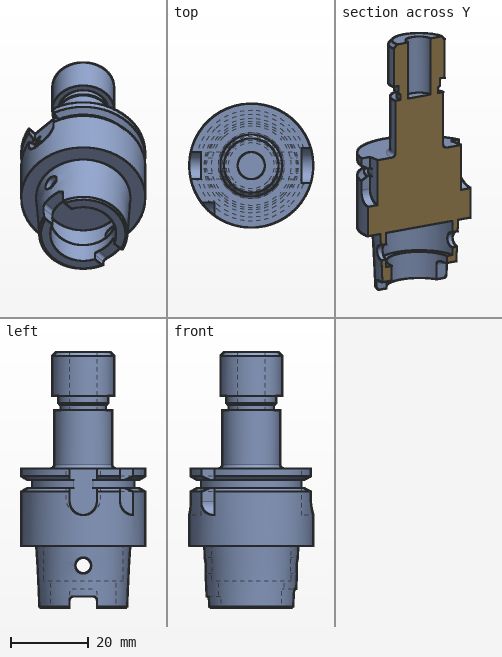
import cadquery as cq
import math


head_top_z = 50.0
shank_length = 16.0

shank_gauge_radius = 12.0035
shank_gauge_depth = 3.2
taper_ratio = 0.1
shank_end_chamfer = 0.5
shank_top_radius = shank_gauge_radius + shank_gauge_depth * taper_ratio / 2
shank_bottom_radius = shank_top_radius - shank_length * taper_ratio / 2

flange_radius = 16.0
flange_height = 20.0
groove_radius = 13.25
groove_centre_z = 16.0
groove_floor_width = 2.0
groove_mouth_width = 4.0
lip_angle = 30.0
lip_height = (groove_mouth_width - groove_floor_width) / 2
lip_inner_radius = flange_radius - lip_height / math.tan(math.radians(lip_angle))

stem_radius = 7.5
stem_top_z = 35.0
stem_fillet = 1.0
neck_radius = 5.9
neck_top_z = 36.3
collar_radius = 6.5
collar_edge_z = neck_top_z + collar_radius - neck_radius
nut_radius = 8.0
nut_bottom_z = 38.7
nut_chamfer = 1.0

tool_bore_radius = 3.5
tool_bore_depth = head_top_z - stem_top_z
shank_mouth_radius = 8.5
shank_cavity_radius = 10.25
shank_cavity_depth = 9.0
cross_hole_radius = 2.0
cross_hole_z = -5.0

keyway_bottom_z = 8.0
keyway_floor_x = 13.0
narrow_keyway_width = 7.0
wide_keyway_width = 9.0
corner_notch_x = -9.5
corner_notch_y = -9.5

drive_slot_width = 7.0
drive_slot_corner = 1.0
shallow_slot_depth = 3.0
deep_slot_depth = 5.0


def make_body():
    """Turned outline of the whole holder, revolved about Z."""
    floor_low = groove_centre_z - groove_floor_width / 2
    floor_high = groove_centre_z + groove_floor_width / 2
    mouth_low = groove_centre_z - groove_mouth_width / 2
    mouth_high = groove_centre_z + groove_mouth_width / 2
    fillet_mid = stem_fillet * (1 - math.sqrt(0.5))
    chamfer_top_radius = shank_bottom_radius + shank_end_chamfer * taper_ratio / 2
    return (
        cq.Workplane("XZ")
        .moveTo(0, -shank_length)
        .lineTo(shank_bottom_radius - shank_end_chamfer, -shank_length)
        .lineTo(chamfer_top_radius, shank_end_chamfer - shank_length)
        .lineTo(shank_top_radius, 0)
        .lineTo(flange_radius, 0)
        .lineTo(flange_radius, mouth_low)
        .lineTo(lip_inner_radius, floor_low)
        .lineTo(groove_radius, floor_low)
        .lineTo(groove_radius, floor_high)
        .lineTo(lip_inner_radius, floor_high)
        .lineTo(flange_radius, mouth_high)
        .lineTo(flange_radius, flange_height)
        .lineTo(stem_radius + stem_fillet, flange_height)
        .threePointArc(
            (stem_radius + fillet_mid, flange_height + fillet_mid),
            (stem_radius, flange_height + stem_fillet),
        )
        .lineTo(stem_radius, stem_top_z)
        .lineTo(neck_radius, stem_top_z)
        .lineTo(neck_radius, neck_top_z)
        .lineTo(collar_radius, collar_edge_z)
        .lineTo(collar_radius, nut_bottom_z)
        .lineTo(nut_radius, nut_bottom_z)
        .lineTo(nut_radius, head_top_z - nut_chamfer)
        .lineTo(nut_radius - nut_chamfer, head_top_z)
        .lineTo(0, head_top_z)
        .close()
        .revolve(360, (0, 0, 0), (0, 1, 0))
    )


def make_keyway(width, centre_y, floor_x):
    """Round-bottomed keyway running outward along X from its floor, open at the top."""
    radius = width / 2
    centre_z = keyway_bottom_z + radius
    length = math.copysign(flange_radius, floor_x)
    return (
        cq.Workplane("YZ", origin=(floor_x, centre_y, 0))
        .moveTo(-radius, flange_height)
        .lineTo(-radius, centre_z)
        .threePointArc((0, keyway_bottom_z), (radius, centre_z))
        .lineTo(radius, flange_height)
        .close()
        .extrude(length)
    )


def make_drive_slot(depth, side):
    """Slot across the shank wall on the +X (side = 1) or -X (side = -1) side."""
    return (
        cq.Workplane("XY", origin=(0, 0, -shank_length))
        .box(flange_radius, drive_slot_width, depth, centered=(True, True, False))
        .edges("|X and >Z")
        .fillet(drive_slot_corner)
        .translate((side * flange_radius / 2, 0, 0))
    )


def make_bores():
    """Blind tool bore, hollow of the shank, and cross hole through both shank walls."""
    tool_bore = (
        cq.Workplane("XY", origin=(0, 0, head_top_z))
        .circle(tool_bore_radius)
        .extrude(-tool_bore_depth)
    )
    shank_mouth = cq.Workplane("XY").circle(shank_mouth_radius).extrude(-shank_length)
    shank_cavity = cq.Workplane("XY").circle(shank_cavity_radius).extrude(-shank_cavity_depth)
    cross_hole = (
        cq.Workplane("YZ", origin=(0, 0, cross_hole_z))
        .circle(cross_hole_radius)
        .extrude(flange_radius, both=True)
    )
    return [tool_bore, shank_mouth, shank_cavity, cross_hole]


corner_notch_centre_y = corner_notch_y - narrow_keyway_width / 2
cutters = make_bores() + [
    make_keyway(narrow_keyway_width, 0, -keyway_floor_x),
    make_keyway(wide_keyway_width, 0, keyway_floor_x),
    make_keyway(narrow_keyway_width, corner_notch_centre_y, corner_notch_x),
    make_drive_slot(shallow_slot_depth, -1),
    make_drive_slot(deep_slot_depth, 1),
]

result = make_body()
for cutter in cutters:
    result = result.cut(cutter)